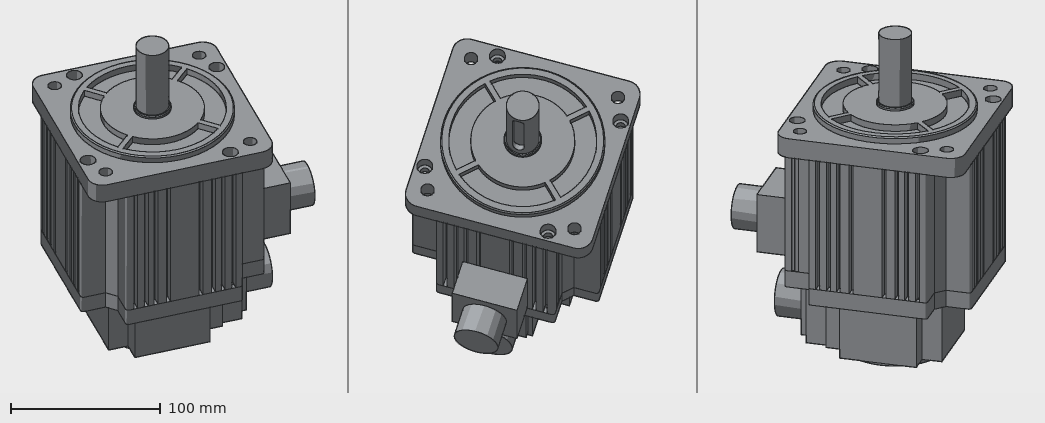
import cadquery as cq

TOTAL_HEIGHT = 229.0

ENCODER_FOOT_HEIGHT = 4.1
ENCODER_BOX_HEIGHT = 48.0
COVER_HEIGHT = 12.0
STATOR_HEIGHT = 94.3
FLANGE_THICKNESS = 14.0
PILOT_HEIGHT = 4.8
SEAL_HEIGHT = 2.0

FLANGE_SIDE = 130.0
FLANGE_CORNER_RADIUS = 10.0
PILOT_RADIUS = 55.0
PILOT_CHAMFER = 1.0
POCKET_OUTER_RADIUS = 49.5
POCKET_INNER_RADIUS = 34.8
POCKET_DEPTH = PILOT_HEIGHT
RIB_WIDTH = 4.0
MOUNTING_HOLE_DIAMETER = 9.0
MOUNTING_HOLE_PITCH = 102.4

SCREW_HOLE_DIAMETER = 6.2
SCREW_HEAD_DIAMETER = 10.5
SCREW_HEAD_DEPTH = 8.7
SCREW_FROM_AXIS = 58.0
SCREW_SIDE_OFFSET = 34.8

BODY_SIDE = FLANGE_SIDE
NOTCH_START = 41.5
NOTCH_CHAMFER = 6.5
EDGE_RADIUS = 2.0

GROOVE_WIDTH = 2.7
GROOVE_DEPTH = 6.2
GROOVE_OFFSETS = (11.5, 20.4, 27.3, SCREW_SIDE_OFFSET)

SIDE_GROOVE_START = 55.2
SIDE_GROOVE_STEP = 58.0
SIDE_GROOVE_END = 60.0
SIDE_GROOVE_SHALLOW = 0.7
SIDE_GROOVE_DEEP = 1.4

SHAFT_RADIUS = 11.0
SEAL_RADIUS = 12.5
SEAL_CHAMFER = 0.7
KEYWAY_WIDTH = 8.0
KEYWAY_DEPTH = 4.0
KEYWAY_LENGTH = 42.1
KEYWAY_FROM_END = 2.5

ENCODER_SIDE = 80.8
ENCODER_NOTCH = 13.7
ENCODER_FOOT_RADIUS = 35.0
ENCODER_PAD_WIDTH = 46.3
ENCODER_PAD_REACH = 55.2

ENCODER_PLATE_SIDE = 40.0
ENCODER_PLATE_THICKNESS = 4.4
ENCODER_PLUG_DIAMETER = 32.5
ENCODER_PLUG_LENGTH = 20.0

POWER_BLOCK_WIDTH = 45.0
POWER_BLOCK_LENGTH = 24.7
POWER_BLOCK_HEIGHT = 42.1
POWER_AXIS_Z = 87.2
POWER_PLUG_DIAMETER = 30.5
POWER_PLUG_END = 110.0

BODY_HALF = BODY_SIDE / 2
ENCODER_BOX_BOTTOM = ENCODER_FOOT_HEIGHT
COVER_BOTTOM = ENCODER_BOX_BOTTOM + ENCODER_BOX_HEIGHT
STATOR_BOTTOM = COVER_BOTTOM + COVER_HEIGHT
FLANGE_BOTTOM = STATOR_BOTTOM + STATOR_HEIGHT
FLANGE_TOP = FLANGE_BOTTOM + FLANGE_THICKNESS
PILOT_TOP = FLANGE_TOP + PILOT_HEIGHT
ENCODER_AXIS_Z = ENCODER_BOX_BOTTOM + ENCODER_BOX_HEIGHT / 2
SIDE_ANGLES = (0, 90, 180, 270)


def cylinder(radius, bottom, height):
    """Upright cylinder on the motor axis."""
    return cq.Workplane("XY").workplane(offset=bottom).circle(radius).extrude(height)


def box(x_range, y_range, z_range):
    """Box between the given limits along X, Y and Z."""
    size = [high - low for low, high in (x_range, y_range, z_range)]
    corner = (x_range[0], y_range[0], z_range[0])
    return cq.Workplane("XY").box(*size, centered=False).translate(corner)


def plug(diameter, start_y, length, axis_z):
    """Round plug pointing along +Y."""
    return cq.Workplane("XZ", origin=(0, start_y, axis_z)).circle(diameter / 2).extrude(-length)


def around_axis(shape, angle):
    """Copy of a shape turned about the motor axis."""
    return shape.rotate((0, 0, 0), (0, 0, 1), angle)


def screw_holes(diameter, bottom, height):
    """Cutters at the four tie-screw places, which follow each other around the axis."""
    first = cylinder(diameter / 2, bottom, height).translate((-SCREW_SIDE_OFFSET, SCREW_FROM_AXIS, 0))
    holes = first
    for angle in SIDE_ANGLES[1:]:
        holes = holes.union(around_axis(first, angle))
    return holes


def square_block(x_side, y_side, bottom, height):
    """Rectangular block centred on the motor axis."""
    return box((-x_side / 2, x_side / 2), (-y_side / 2, y_side / 2), (bottom, bottom + height))


def notched_block(bottom, height):
    """Block with a notch at each corner: a rounded cross around a chamfered square core."""
    arm_width = 2 * NOTCH_START
    core_side = 2 * (NOTCH_START + NOTCH_CHAMFER)
    along_x = square_block(BODY_SIDE, arm_width, bottom, height).edges("|Z").fillet(EDGE_RADIUS)
    along_y = square_block(arm_width, BODY_SIDE, bottom, height).edges("|Z").fillet(EDGE_RADIUS)
    core = square_block(core_side, core_side, bottom, height).edges("|Z").chamfer(NOTCH_CHAMFER)
    return core.union(along_x).union(along_y)


def make_shaft():
    """Output shaft standing on the stator, with a keyway closed at both ends."""
    shaft = cylinder(SHAFT_RADIUS, FLANGE_BOTTOM, TOTAL_HEIGHT - FLANGE_BOTTOM)
    keyway_middle = TOTAL_HEIGHT - KEYWAY_FROM_END - KEYWAY_LENGTH / 2
    keyway = (
        cq.Workplane("XZ", origin=(0, SHAFT_RADIUS, keyway_middle))
        .slot2D(KEYWAY_LENGTH, KEYWAY_WIDTH, 90)
        .extrude(KEYWAY_DEPTH)
    )
    return shaft.cut(keyway)


def make_seal():
    """Chamfered seal ring lying on the pilot around the shaft."""
    ring = cylinder(SEAL_RADIUS, PILOT_TOP, SEAL_HEIGHT).faces(">Z").edges().chamfer(SEAL_CHAMFER)
    return ring.cut(cylinder(SHAFT_RADIUS, PILOT_TOP, SEAL_HEIGHT))


def make_pilot_pockets():
    """Ring-shaped recess in the pilot, split into four by the diagonal ribs."""
    bottom = PILOT_TOP - POCKET_DEPTH
    pockets = cylinder(POCKET_OUTER_RADIUS, bottom, POCKET_DEPTH)
    pockets = pockets.cut(cylinder(POCKET_INNER_RADIUS, bottom, POCKET_DEPTH))
    rib = square_block(2 * PILOT_RADIUS, RIB_WIDTH, bottom, POCKET_DEPTH)
    for angle in (45, 135):
        pockets = pockets.cut(around_axis(rib, angle))
    return pockets


def make_flange():
    """Front flange with its pilot, shaft bore, mounting holes and counterbored screw holes."""
    plate = square_block(FLANGE_SIDE, FLANGE_SIDE, FLANGE_BOTTOM, FLANGE_THICKNESS)
    plate = plate.edges("|Z").fillet(FLANGE_CORNER_RADIUS)
    plate = (
        plate.faces(">Z")
        .workplane(origin=(0, 0, FLANGE_TOP))
        .rect(MOUNTING_HOLE_PITCH, MOUNTING_HOLE_PITCH, forConstruction=True)
        .vertices()
        .hole(MOUNTING_HOLE_DIAMETER)
    )
    plate = plate.cut(screw_holes(SCREW_HOLE_DIAMETER, FLANGE_BOTTOM, FLANGE_THICKNESS))
    plate = plate.cut(screw_holes(SCREW_HEAD_DIAMETER, FLANGE_TOP - SCREW_HEAD_DEPTH, SCREW_HEAD_DEPTH))
    pilot = cylinder(PILOT_RADIUS, FLANGE_TOP, PILOT_HEIGHT).faces(">Z").edges().chamfer(PILOT_CHAMFER)
    bore = cylinder(SHAFT_RADIUS, FLANGE_BOTTOM, PILOT_TOP - FLANGE_BOTTOM)
    return plate.union(pilot).cut(make_pilot_pockets()).cut(bore)


def make_cooling_grooves():
    """Cutter for the upright grooves, mirrored about the middle of each of the four sides."""
    z_range = (STATOR_BOTTOM, FLANGE_BOTTOM)
    floor = -BODY_HALF + GROOVE_DEPTH
    grooves = cq.Workplane("XY")
    for angle in SIDE_ANGLES:
        for offset in GROOVE_OFFSETS:
            for middle in (-offset, offset):
                x_range = (middle - GROOVE_WIDTH / 2, middle + GROOVE_WIDTH / 2)
                grooves = grooves.add(around_axis(box(x_range, (-BODY_HALF, floor), z_range), angle))
    return grooves.combine()


def make_side_groove():
    """Cutter for the stepped groove in the wall facing -X in the -X, +Y corner notch."""
    z_range = (STATOR_BOTTOM, FLANGE_BOTTOM)
    wall = -NOTCH_START
    shallow = box((wall, wall + SIDE_GROOVE_SHALLOW), (SIDE_GROOVE_START, SIDE_GROOVE_STEP), z_range)
    deep = box((wall, wall + SIDE_GROOVE_DEEP), (SIDE_GROOVE_STEP, SIDE_GROOVE_END), z_range)
    return shallow.union(deep)


def make_stator():
    """Grooved stator between the flange and the rear cover."""
    block = notched_block(STATOR_BOTTOM, STATOR_HEIGHT)
    return block.cut(make_cooling_grooves()).cut(make_side_groove())


def make_rear_cover():
    """Rear cover with the stator's outline and through holes for the tie screws."""
    cover = notched_block(COVER_BOTTOM, COVER_HEIGHT)
    return cover.cut(screw_holes(SCREW_HOLE_DIAMETER, COVER_BOTTOM, COVER_HEIGHT))


def make_encoder_housing():
    """Notched encoder box with a round foot and a connector pad on its +Y side."""
    arm = ENCODER_SIDE - 2 * ENCODER_NOTCH
    along_x = square_block(ENCODER_SIDE, arm, ENCODER_BOX_BOTTOM, ENCODER_BOX_HEIGHT)
    along_y = square_block(arm, ENCODER_SIDE, ENCODER_BOX_BOTTOM, ENCODER_BOX_HEIGHT)
    pad = box(
        (-ENCODER_PAD_WIDTH / 2, ENCODER_PAD_WIDTH / 2),
        (0, ENCODER_PAD_REACH),
        (ENCODER_BOX_BOTTOM, COVER_BOTTOM),
    )
    foot = cylinder(ENCODER_FOOT_RADIUS, 0, ENCODER_FOOT_HEIGHT)
    return along_x.union(along_y).union(pad).union(foot)


def make_encoder_connector():
    """Square plate with a round plug, on the pad of the encoder housing."""
    half = ENCODER_PLATE_SIDE / 2
    plate_end = ENCODER_PAD_REACH + ENCODER_PLATE_THICKNESS
    plate = box(
        (-half, half),
        (ENCODER_PAD_REACH, plate_end),
        (ENCODER_AXIS_Z - half, ENCODER_AXIS_Z + half),
    )
    return plate.union(plug(ENCODER_PLUG_DIAMETER, plate_end, ENCODER_PLUG_LENGTH, ENCODER_AXIS_Z))


def make_power_connector():
    """Block with a round plug, on the +Y side of the stator."""
    block_end = BODY_HALF + POWER_BLOCK_LENGTH
    half_height = POWER_BLOCK_HEIGHT / 2
    block = box(
        (-POWER_BLOCK_WIDTH / 2, POWER_BLOCK_WIDTH / 2),
        (BODY_HALF, block_end),
        (POWER_AXIS_Z - half_height, POWER_AXIS_Z + half_height),
    )
    return block.union(plug(POWER_PLUG_DIAMETER, block_end, POWER_PLUG_END - block_end, POWER_AXIS_Z))


shaft = make_shaft()
seal = make_seal()
flange = make_flange()
stator = make_stator()
rear_cover = make_rear_cover()
encoder_housing = make_encoder_housing()
encoder_connector = make_encoder_connector()
power_connector = make_power_connector()

result = cq.Compound.makeCompound(
    [
        shaft.val(),
        seal.val(),
        flange.val(),
        stator.val(),
        rear_cover.val(),
        encoder_housing.val(),
        encoder_connector.val(),
        power_connector.val(),
    ]
)